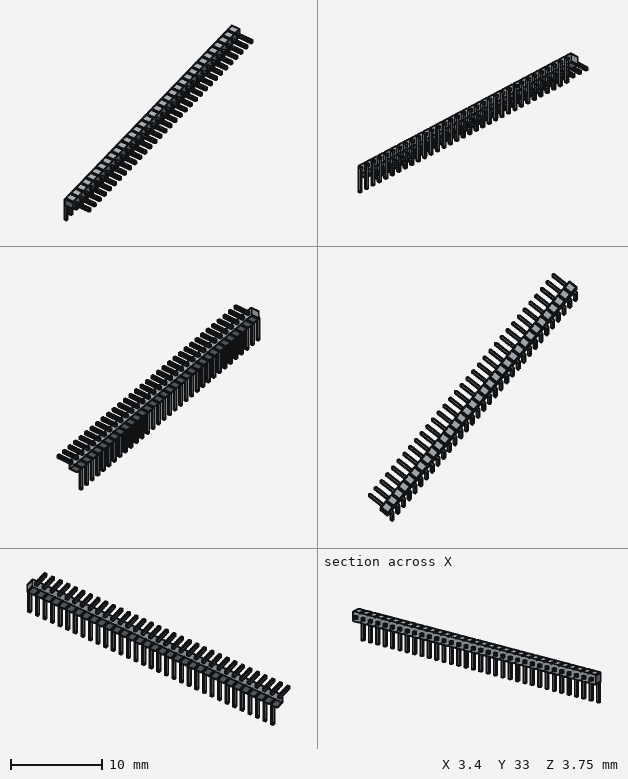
import cadquery as cq

pin_count = 33
strip_length = 33.0
pitch = strip_length / pin_count

body_depth = 1.0
body_height = 1.2
notch_depth = 0.1

pin_size = 0.3
bend_radius = 0.35
tip_chamfer = 0.082
body_gap = 0.1
total_depth = 3.4
total_height = 3.75
pin_axis_drop = body_height / 2

body_front = pin_size + body_gap
pin_top = pin_size / 2 - pin_axis_drop
pin_bottom = pin_top - pin_size


def strip_segment(center_y):
    """One pitch of the strip, chamfered along its ends so that neighbours form V notches."""
    return (
        cq.Workplane("XY")
        .box(body_depth, pitch, body_height, centered=(False, True, False))
        .edges("|X")
        .chamfer(notch_depth)
        .translate((body_front, center_y, -body_height))
    )


def pin(center_y):
    """L-shaped pin: a leg pointing down, a rounded outer bend, an arm through the strip and bevelled tips."""
    return (
        cq.Workplane("XZ")
        .moveTo(0, -total_height)
        .lineTo(0, pin_top - bend_radius)
        .radiusArc((bend_radius, pin_top), bend_radius)
        .lineTo(total_depth, pin_top)
        .lineTo(total_depth, pin_bottom)
        .lineTo(pin_size, pin_bottom)
        .lineTo(pin_size, -total_height)
        .close()
        .extrude(pin_size / 2, both=True)
        .faces(">X or <Z")
        .chamfer(tip_chamfer)
        .translate((0, center_y, 0))
    )


solids = []
for index in range(pin_count):
    center_y = (index - (pin_count - 1) / 2) * pitch
    solids.append(strip_segment(center_y).val())
    solids.append(pin(center_y).val())

result = cq.Workplane(obj=solids[0].fuse(*solids[1:]).clean())